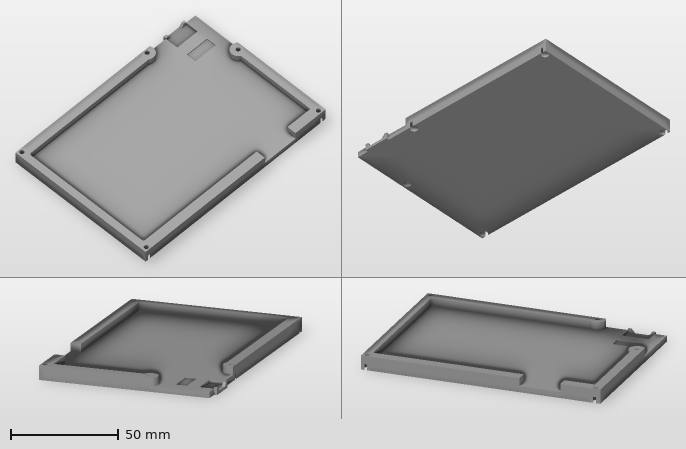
import cadquery as cq

plate_width = 84.9
plate_length = 119.6
plate_thickness = 3.0

clearance_diameter = 4.1
rail_hole_diameter = 2.4
hole_side_inset = 1.9
hole_front_inset = 2.4
hole_back_inset = 2.9

rail_height = 4.1
side_rail_width = 5.3
front_rail_width = 4.0
back_rail_width = 4.8
front_corner_radius = 1.0
boss_radius = 4.1
left_boss_setback = 34.0
back_boss_offset = 30.7
opening_start = 20.0
opening_end = 40.4

recess_setback = 6.1
recess_length = 13.5
recess_reach = 7.4
recess_floor = 1.3
lip_thickness = 1.4
lip_height = 3.5
notch_margin = 1.7
notch_slope_width = 1.7
relief_offset = 13.6
relief_width = 5.5
relief_depth = 0.6

recess_back = plate_length - recess_setback
recess_front = recess_back - recess_length
hole_right_x = plate_width - hole_side_inset
hole_back_y = plate_length - hole_back_inset
left_boss = (hole_side_inset, plate_length - left_boss_setback)
back_boss = (back_boss_offset, hole_back_y)
back_rail_holes = [back_boss, (hole_right_x, hole_back_y)]
front_rail_holes = [left_boss, (hole_side_inset, hole_front_inset), (hole_right_x, hole_front_inset)]


def block(x0, x1, y0, y1, z0, z1):
    """Box between two opposite corners."""
    return cq.Workplane("XY").box(x1 - x0, y1 - y0, z1 - z0, centered=False).translate((x0, y0, z0))


def cylinders(points, diameter, z0, height):
    """Upright cylinders at the given plan positions."""
    return cq.Workplane("XY").workplane(offset=z0).pushPoints(points).circle(diameter / 2).extrude(height)


def make_lip():
    """Raised lip with a notch that narrows towards the recess floor."""
    notch_back = recess_back - notch_margin
    notch_front = recess_front + notch_margin
    profile = [
        (recess_front, 0),
        (recess_back, 0),
        (recess_back, lip_height),
        (notch_back, lip_height),
        (notch_back, plate_thickness),
        (notch_back - notch_slope_width, recess_floor),
        (notch_front + notch_slope_width, recess_floor),
        (notch_front, plate_thickness),
        (notch_front, lip_height),
        (recess_front, lip_height),
    ]
    return cq.Workplane("YZ").polyline(profile).close().extrude(-lip_thickness)


def make_plate():
    """Base plate with connector recess, lip, relief and clearance holes."""
    plate = block(0, plate_width, 0, plate_length, 0, plate_thickness)
    recess = block(0, recess_reach, recess_front, recess_back, recess_floor, plate_thickness)
    relief = block(
        relief_offset, relief_offset + relief_width,
        recess_front, recess_back,
        plate_thickness - relief_depth, plate_thickness,
    )
    holes = cylinders(back_rail_holes + front_rail_holes, clearance_diameter, 0, plate_thickness)
    return plate.cut(recess).cut(relief).union(make_lip()).cut(holes)


def make_rail(outline, boss_centre, hole_points):
    """Rail with a round end boss trimmed flush to the plate edges, and its screw holes."""
    rail = cq.Workplane("XY").workplane(offset=plate_thickness).polyline(outline).close().extrude(rail_height)
    boss = cylinders([boss_centre], 2 * boss_radius, plate_thickness, rail_height)
    rail_top = plate_thickness + rail_height
    plate_footprint = block(0, plate_width, 0, plate_length, plate_thickness, rail_top)
    holes = cylinders(hole_points, rail_hole_diameter, plate_thickness, rail_height)
    return rail.union(boss.intersect(plate_footprint)).cut(holes)


def make_back_rail():
    """L-shaped rail around the back right corner."""
    inner_x = plate_width - side_rail_width
    inner_y = plate_length - back_rail_width
    end_y = plate_length - opening_start
    outline = [
        (back_boss_offset, plate_length),
        (plate_width, plate_length),
        (plate_width, end_y),
        (inner_x, end_y),
        (inner_x, inner_y),
        (back_boss_offset, inner_y),
    ]
    return make_rail(outline, back_boss, back_rail_holes)


def make_front_rail():
    """U-shaped rail along the left, front and right edges."""
    inner_x = plate_width - side_rail_width
    right_end_y = plate_length - opening_end
    left_end_y = left_boss[1]
    outline = [
        (0, left_end_y),
        (0, 0),
        (plate_width, 0),
        (plate_width, right_end_y),
        (inner_x, right_end_y),
        (inner_x, front_rail_width),
        (side_rail_width, front_rail_width),
        (side_rail_width, left_end_y),
    ]
    rail = make_rail(outline, left_boss, front_rail_holes)
    inner_corners = cq.selectors.BoxSelector(
        (side_rail_width - front_corner_radius, front_rail_width - front_corner_radius, plate_thickness),
        (inner_x + front_corner_radius, front_rail_width + front_corner_radius, plate_thickness + rail_height),
    )
    return rail.edges("|Z").edges(inner_corners).fillet(front_corner_radius)


plate = make_plate()
back_rail = make_back_rail()
front_rail = make_front_rail()

result = cq.Compound.makeCompound([plate.val(), back_rail.val(), front_rail.val()])